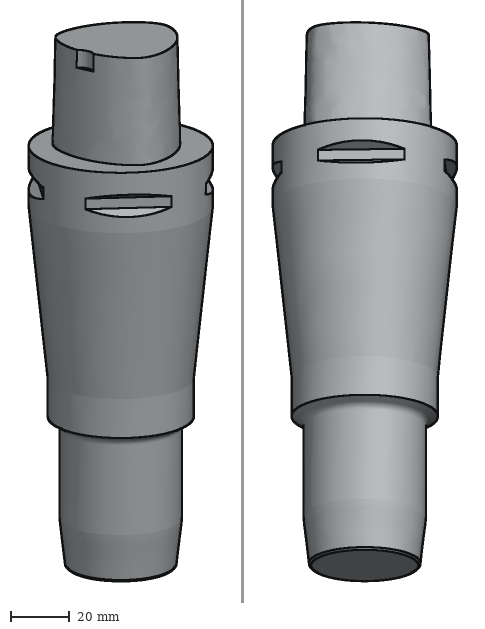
import cadquery as cq
import math

total_height = 188
flange_diameter = 63.0
flange_top = 150.0
flange_bottom = 128.4
collar_diameter = 50.0
collar_top = 67.1
shaft_diameter = 42.0
shaft_top = 49.5
shaft_bottom = 17.3
neck_radius = 2.6
neck_cone_angle = 30

nose_top = 15.2
nose_top_diameter = 41.5
nose_tip_diameter = 38.2
tip_chamfer = 0.8

shank_base_radius = 21.8
shank_taper = 1 / 40
shank_lobe_height = 1.7
shank_samples = 72

keyway_depth = 6.2
keyway_radius = 5.6
keyway_floor = 17.7

slot_count = 4
slot_first_angle = 45
slot_center_height = 138.2
slot_floor_height = 3.8
slot_floor_distance = 27.8
slot_flank_angle = 30


def make_body():
    flange_radius = flange_diameter / 2
    collar_radius = collar_diameter / 2
    shaft_radius = shaft_diameter / 2
    tip_radius = nose_tip_diameter / 2
    cone_slope = math.radians(neck_cone_angle)
    neck_arc_end_radius = shaft_radius + neck_radius * (1 - math.sin(cone_slope))
    neck_arc_end_height = shaft_top + neck_radius * math.cos(cone_slope)
    collar_bottom = neck_arc_end_height + (collar_radius - neck_arc_end_radius) * math.tan(cone_slope)
    half_profile = (
        cq.Workplane("XZ")
        .moveTo(0, 0)
        .lineTo(tip_radius - tip_chamfer, 0)
        .lineTo(tip_radius, tip_chamfer)
        .lineTo(nose_top_diameter / 2, nose_top)
        .lineTo(shaft_radius, shaft_bottom)
        .lineTo(shaft_radius, shaft_top)
        .radiusArc((neck_arc_end_radius, neck_arc_end_height), neck_radius)
        .lineTo(collar_radius, collar_bottom)
        .lineTo(collar_radius, collar_top)
        .lineTo(flange_radius, flange_bottom)
        .lineTo(flange_radius, flange_top)
        .lineTo(0, flange_top)
        .close()
    )
    return half_profile.revolve(360, (0, 0, 0), (0, 1, 0))


def lobed_point(fraction, radius):
    """Point on the three-lobed outline, a fraction of the way round."""
    angle = 2 * math.pi * fraction
    lobe = shank_lobe_height
    side = radius * math.sin(angle) + 2 * lobe * math.sin(2 * angle) + lobe * math.sin(4 * angle)
    inward = radius * math.cos(angle) - 2 * lobe * math.cos(2 * angle) + lobe * math.cos(4 * angle)
    return (side, -inward)


def lobed_outline(radius):
    return [lobed_point(index / shank_samples, radius) for index in range(shank_samples)]


def make_shank():
    height = total_height - flange_top
    top_radius = shank_base_radius - height * shank_taper
    return (
        cq.Workplane("XY", origin=(0, 0, flange_top))
        .spline(lobed_outline(shank_base_radius), periodic=True)
        .close()
        .workplane(offset=height)
        .spline(lobed_outline(top_radius), periodic=True)
        .close()
        .loft(ruled=True)
    )


def make_keyway():
    return (
        cq.Workplane("XY", origin=(0, -keyway_floor - keyway_radius, total_height - keyway_depth))
        .circle(keyway_radius)
        .extrude(keyway_depth)
    )


def make_slot(angle):
    """Straight V-sided groove with a flat floor, cut across the flange rim."""
    slot_outer = flange_diameter / 2 + 1.9
    half_floor = slot_floor_height / 2
    flare = (slot_outer - slot_floor_distance) * math.tan(math.radians(slot_flank_angle))
    half_mouth = half_floor + flare
    return (
        cq.Workplane("XZ", origin=(0, 0, slot_center_height))
        .polyline([
            (slot_floor_distance, -half_floor),
            (slot_outer, -half_mouth),
            (slot_outer, half_mouth),
            (slot_floor_distance, half_floor),
        ])
        .close()
        .extrude(flange_diameter / 2, both=True)
        .rotate((0, 0, 0), (0, 0, 1), angle)
    )


result = make_body().union(make_shank()).cut(make_keyway())
for index in range(slot_count):
    result = result.cut(make_slot(slot_first_angle + index * 360 / slot_count))